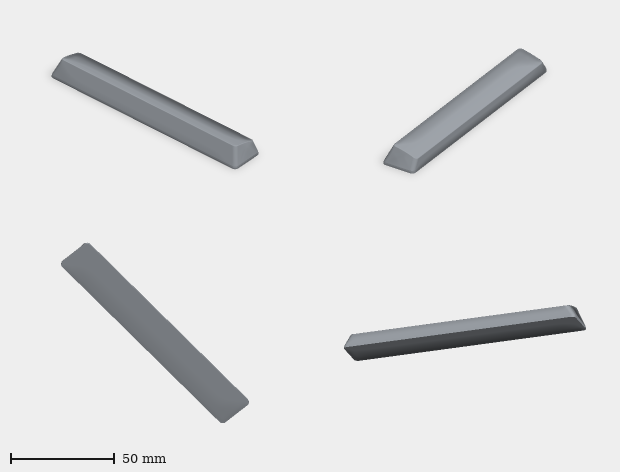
import cadquery as cq
import math

LENGTH = 118.17
DEPTH = 18.16
HEIGHT = 10.16
BACK_HEIGHT = 6.5
CORNER_RADIUS = 2.0

SKIRT_HEIGHT = 0.7
BAND_TOP = 1.45

END_INSET = 3.3
FRONT_INSET = 4.0
BACK_INSET = 0.4

CROWN_RISE = 0.45
TOP_EDGE_RADIUS = 0.4
CORNER_LOSS = 0.037

OVERSHOOT = 1.15

BAND_STEEPNESS = 0.5
BAND_LEAN = BAND_STEEPNESS * (BAND_TOP - SKIRT_HEIGHT) / (HEIGHT - SKIRT_HEIGHT)

FRONT_HEIGHT = HEIGHT + CORNER_LOSS


def rounded_outline(lean, front_z, back_z):
    """Wire of the rounded rectangle where the walls have leaned in by the given share.

    The rectangle is level when both heights agree, else it tilts from front to back.
    """
    front_y = -DEPTH / 2 + lean * FRONT_INSET
    back_y = DEPTH / 2 - lean * BACK_INSET
    run = back_y - front_y
    drop = front_z - back_z
    plane = cq.Plane(
        origin=(0, (front_y + back_y) / 2, (front_z + back_z) / 2),
        xDir=(1, 0, 0),
        normal=(0, drop, run),
    )
    length = LENGTH - 2 * lean * END_INSET
    sharp = cq.Workplane(plane).rect(length, math.hypot(run, drop)).val()
    return sharp.fillet2D(CORNER_RADIUS, sharp.Vertices())


def make_walls():
    """Skirt, band and leaning walls as one ruled solid, taller than the finished cap."""
    outlines = [
        rounded_outline(0, 0, 0),
        rounded_outline(0, SKIRT_HEIGHT, SKIRT_HEIGHT),
        rounded_outline(BAND_LEAN, BAND_TOP, BAND_TOP),
        rounded_outline(
            OVERSHOOT,
            BAND_TOP + OVERSHOOT * (FRONT_HEIGHT - BAND_TOP),
            BAND_TOP + OVERSHOOT * (BACK_HEIGHT - BAND_TOP),
        ),
    ]
    return cq.Workplane(cq.Solid.makeLoft(outlines, True))


def make_crown():
    """Cylinder along X whose upper side passes through the front and back top edges."""
    front_y = -DEPTH / 2 + FRONT_INSET
    back_y = DEPTH / 2 - BACK_INSET
    run = back_y - front_y
    drop = FRONT_HEIGHT - BACK_HEIGHT
    chord = math.hypot(run, drop)
    radius = (chord**2 / 4 + CROWN_RISE**2) / (2 * CROWN_RISE)
    depth_of_axis = radius - CROWN_RISE
    axis_y = (front_y + back_y) / 2 - depth_of_axis * drop / chord
    axis_z = (FRONT_HEIGHT + BACK_HEIGHT) / 2 - depth_of_axis * run / chord
    return cq.Workplane("YZ").center(axis_y, axis_z).circle(radius).extrude(LENGTH, both=True)


def make_key():
    """Walls trimmed by the crown, with the edge around the top rounded."""
    key = make_walls().intersect(make_crown())
    return key.faces("%CYLINDER").faces(">Z").edges().fillet(TOP_EDGE_RADIUS)


result = make_key()